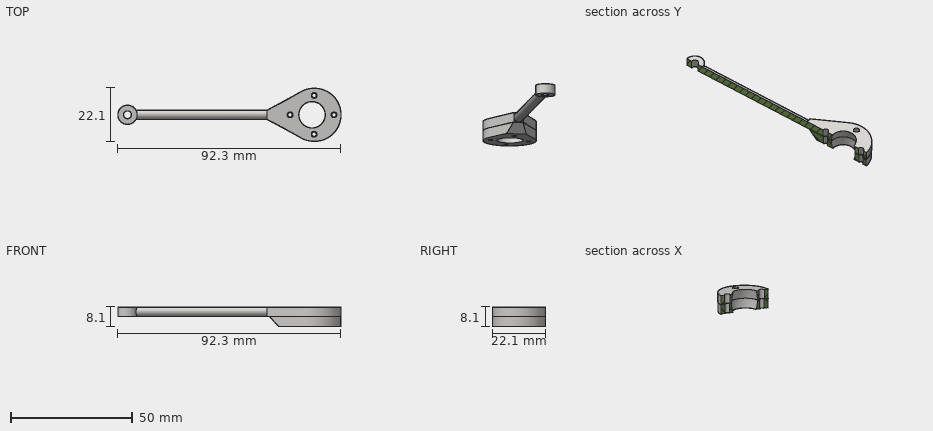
import cadquery as cq
import math

length = 92.3
rod_diameter = 4.0
arm_thickness = rod_diameter

eye_diameter = 8.0
eye_hole_diameter = 3.1
eye_x = eye_diameter / 2

head_width = 22.1
head_radius = head_width / 2
head_x = length - head_radius
head_tip_x = 61.7
tip_half_width = rod_diameter / 2

cover_thickness = 4.1
cover_setback = 0.14
cover_x = head_x - cover_setback
cover_tip_x = 62.7
cover_bevel = 3.8

bore_rim_diameter = 10.8
bore_belly_diameter = 12.0
bore_x = head_x - 1.0
arm_screw_diameter = 2.4
cover_screw_diameter = 1.75
lengthwise_screw_offset = 9.0
side_screw_offset = 8.0
screw_points = [
    (bore_x + lengthwise_screw_offset, 0),
    (bore_x - lengthwise_screw_offset, 0),
    (cover_x, side_screw_offset),
    (cover_x, -side_screw_offset),
]


def teardrop(tip_x, center_x, thickness):
    """Blunt-tipped plate whose straight flanks run tangent into a round end."""
    reach = center_x - tip_x
    tip_distance = math.hypot(reach, tip_half_width)
    flank_angle = math.asin(head_radius / tip_distance) - math.atan2(tip_half_width, reach)
    tangent_x = center_x - head_radius * math.sin(flank_angle)
    tangent_y = head_radius * math.cos(flank_angle)
    return (
        cq.Workplane("XY")
        .moveTo(tip_x, -tip_half_width)
        .lineTo(tangent_x, -tangent_y)
        .threePointArc((center_x + head_radius, 0), (tangent_x, tangent_y))
        .lineTo(tip_x, tip_half_width)
        .close()
        .extrude(thickness)
    )


def cut_openings(plate, screw_diameter):
    """Cut the barrel-shaped bore and the four screw holes through a plate."""
    bore = (
        cq.Workplane("XZ", origin=(bore_x, 0, 0))
        .moveTo(0, -cover_thickness)
        .lineTo(bore_rim_diameter / 2, -cover_thickness)
        .threePointArc((bore_belly_diameter / 2, 0), (bore_rim_diameter / 2, arm_thickness))
        .lineTo(0, arm_thickness)
        .close()
        .revolve(360, (0, 0), (0, 1))
    )
    screws = (
        cq.Workplane("XY")
        .pushPoints(screw_points)
        .circle(screw_diameter / 2)
        .extrude(arm_thickness + cover_thickness, both=True)
    )
    return plate.cut(bore).cut(screws)


def make_arm():
    """Eye, round rod and teardrop head in one piece."""
    eye = cq.Workplane("XY").center(eye_x, 0).circle(eye_diameter / 2).extrude(arm_thickness)
    rod = (
        cq.Workplane("YZ", origin=(eye_x, 0, arm_thickness / 2))
        .circle(rod_diameter / 2)
        .extrude(head_tip_x - eye_x)
    )
    eye_hole = cq.Workplane("XY").center(eye_x, 0).circle(eye_hole_diameter / 2).extrude(arm_thickness)
    head = cut_openings(teardrop(head_tip_x, head_x, arm_thickness), arm_screw_diameter)
    return eye.union(rod).cut(eye_hole).union(head)


def make_cover():
    """Teardrop cover with its tip bevelled away towards the underside."""
    plate = teardrop(cover_tip_x, cover_x, cover_thickness).translate((0, 0, -cover_thickness))
    bevel = (
        cq.Workplane("XZ")
        .moveTo(cover_tip_x, 0)
        .lineTo(cover_tip_x + cover_bevel, -cover_thickness)
        .lineTo(cover_tip_x, -cover_thickness)
        .close()
        .extrude(head_radius, both=True)
    )
    return cut_openings(plate.cut(bevel), cover_screw_diameter)


arm = make_arm()
cover = make_cover()

result = cq.Compound.makeCompound([arm.val(), cover.val()])